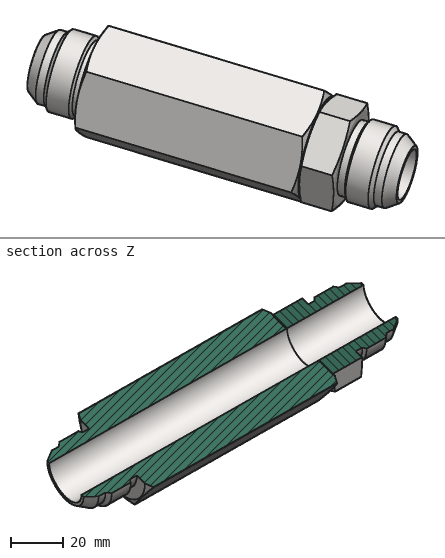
import cadquery as cq
import math

total_length = 151.3
end_length = 22.8
joint_x = 114.4

bore_diameter = 20.3

tip_diameter = 23.1
land_diameter = 29.8
collar_diameter = 33.3
neck_diameter = 30.4
nose_length = 4.7
land_end = 8.0
collar_start = 9.7
collar_end = 18.9
neck_start = 19.8

housing_corner_width = 47.7
housing_face_diameter = 40.7
housing_chamfer_length = 1.5

adapter_corner_width = 44.0
adapter_face_diameter = 37.8
adapter_chamfer_length = 0.8
adapter_turn = 1.5


def revolve_about_x(points):
    """Revolve an (x, radius) outline about the X axis."""
    return cq.Workplane("XY").polyline(points).close().revolve(360, (0, 0, 0), (1, 0, 0))


def male_end():
    """Male end with its tip at X = 0, pointing toward -X."""
    return revolve_about_x([
        (0, 0),
        (0, tip_diameter / 2),
        (nose_length, land_diameter / 2),
        (land_end, land_diameter / 2),
        (collar_start, collar_diameter / 2),
        (collar_end, collar_diameter / 2),
        (neck_start, neck_diameter / 2),
        (end_length, neck_diameter / 2),
        (end_length, 0),
    ])


def chamfered_hexagon(start_x, end_x, corner_width, face_diameter, chamfer_length):
    """Hexagonal bar along X with conically chamfered corners at both ends."""
    hexagon = cq.Workplane("YZ", origin=(start_x, 0, 0)).polygon(6, corner_width).extrude(end_x - start_x)
    envelope = revolve_about_x([
        (start_x, 0),
        (start_x, face_diameter / 2),
        (start_x + chamfer_length, corner_width / 2),
        (end_x - chamfer_length, corner_width / 2),
        (end_x, face_diameter / 2),
        (end_x, 0),
    ])
    return hexagon.intersect(envelope)


def bore():
    return cq.Workplane("YZ").circle(bore_diameter / 2).extrude(total_length)


def make_housing():
    """Long hexagonal housing with a male end at -X."""
    hexagon = chamfered_hexagon(
        end_length, joint_x, housing_corner_width, housing_face_diameter, housing_chamfer_length
    )
    return hexagon.union(male_end()).cut(bore())


def make_adapter():
    """Short hexagonal adapter with a male end at +X."""
    hexagon = chamfered_hexagon(
        joint_x, total_length - end_length,
        adapter_corner_width / math.cos(math.radians(adapter_turn)),
        adapter_face_diameter, adapter_chamfer_length,
    )
    hexagon = hexagon.rotate((0, 0, 0), (1, 0, 0), 90 - adapter_turn)
    right_end = male_end().mirror("YZ").translate((total_length, 0, 0))
    return hexagon.union(right_end).cut(bore())


housing = make_housing()
adapter = make_adapter()

result = cq.Compound.makeCompound([housing.solids().val(), adapter.solids().val()])